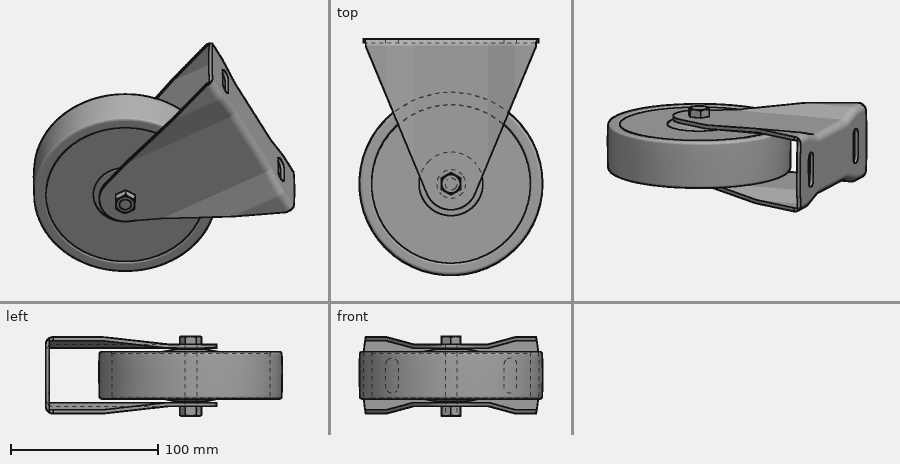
import cadquery as cq
import math


wheel_dia = 125.0
wheel_width = 32.2
total_length = 161.0
sheet = 2.5

fork_height = 52.2
axle_height = 42.2
arm_half_width = 58.0
wall_half_width = 59.7
wall_straight_height = 14.8
tip_radius = 17.7
wall_bend_radius = 5.2
crease_radius = 5.5
inner_crease_x = 25.3
outer_crease_x = 43.8
slot_width = 8.5
slot_length = 23.8
slot_spacing = 80.5

shoulder_dia = 124.1
rim_round = 2.0
rim_inner_dia = 111.4
web_recess = 1.0
hub_dia = 43.5
dome_dia = 37.4
boss_dia = 19.5

shank_dia = 8.0
hex_flats = 13.0
hex_face_dia = 12.5
hex_chamfer_angle = 30.0
head_height = 5.5
nut_height = 6.6

mount_y = total_length - wheel_dia / 2
wall_inner_y = mount_y - sheet
bend_end_y = mount_y - wall_bend_radius
arm_outer_z = axle_height / 2
arm_inner_z = arm_outer_z - sheet
flat_outer_z = fork_height / 2
rim_z = wheel_width / 2
oversize = 2 * total_length


def crease_profile(inset):
    """Closed XZ outline around both arms, moved inward by inset with mitred creases."""
    slope = math.atan2(flat_outer_z - arm_outer_z, outer_crease_x - inner_crease_x)
    shift = inset * math.tan(slope / 2)
    flat_z = flat_outer_z - inset
    panel_z = arm_outer_z - inset
    return (
        cq.Workplane("XZ")
        .moveTo(-oversize, 0)
        .lineTo(-oversize, flat_z)
        .lineTo(-outer_crease_x - shift, flat_z)
        .lineTo(-inner_crease_x - shift, panel_z)
        .lineTo(inner_crease_x + shift, panel_z)
        .lineTo(outer_crease_x + shift, flat_z)
        .lineTo(oversize, flat_z)
        .lineTo(oversize, 0)
        .mirrorX()
    )


def fork_plan():
    """Plan of the fork: wall, straight bend zone, then sides tangent to the round tip."""
    reach = math.hypot(arm_half_width, bend_end_y)
    bearing = math.atan2(bend_end_y, arm_half_width)
    tangent = bearing - math.acos(tip_radius / reach)
    return (
        cq.Workplane("XY")
        .moveTo(0, mount_y)
        .lineTo(wall_half_width, mount_y)
        .lineTo(wall_half_width, wall_inner_y)
        .lineTo(arm_half_width, wall_inner_y)
        .lineTo(arm_half_width, bend_end_y)
        .lineTo(tip_radius * math.cos(tangent), tip_radius * math.sin(tangent))
        .tangentArcPoint((0, -tip_radius), relative=False)
        .mirrorY()
        .extrude(oversize, both=True)
    )


def wall_outline():
    """End outline of the fork: side edges straight in the middle, curving in at both ends."""
    straight_z = wall_straight_height / 2
    rise = flat_outer_z - straight_z
    inward = wall_half_width - arm_half_width
    curve_radius = (rise**2 + inward**2) / (2 * inward)
    curve_mid = math.asin(rise / curve_radius) / 2
    mid_x = wall_half_width - curve_radius * (1 - math.cos(curve_mid))
    mid_z = straight_z + curve_radius * math.sin(curve_mid)
    return (
        cq.Workplane("XZ")
        .moveTo(0, -flat_outer_z)
        .lineTo(arm_half_width, -flat_outer_z)
        .threePointArc((mid_x, -mid_z), (wall_half_width, -straight_z))
        .lineTo(wall_half_width, straight_z)
        .threePointArc((mid_x, mid_z), (arm_half_width, flat_outer_z))
        .lineTo(0, flat_outer_z)
        .mirrorY()
        .extrude(oversize, both=True)
    )


def make_fork():
    envelope = crease_profile(0).extrude(oversize, both=True)
    for x in (-outer_crease_x, outer_crease_x):
        for z in (-flat_outer_z, flat_outer_z):
            crease = cq.selectors.NearestToPointSelector((x, 0, z))
            envelope = envelope.edges("|Y").edges(crease).fillet(crease_radius)
    behind_wall = cq.Workplane("XY").box(3 * oversize, oversize, oversize).translate(
        (0, mount_y + oversize / 2, 0)
    )
    envelope = envelope.cut(behind_wall)
    envelope = envelope.faces(">Y").edges("not |Z").fillet(wall_bend_radius)

    cavity = crease_profile(sheet).extrude(oversize, both=True).translate(
        (0, wall_inner_y - oversize, 0)
    )
    fork = envelope.cut(cavity).intersect(fork_plan()).intersect(wall_outline())

    slots = (
        cq.Workplane("XZ")
        .pushPoints([(-slot_spacing / 2, 0), (slot_spacing / 2, 0)])
        .slot2D(slot_length, slot_width, 90)
        .extrude(-oversize)
    )
    axle_hole = cq.Workplane("XY").circle(shank_dia / 2).extrude(oversize, both=True)
    return fork.cut(slots).cut(axle_hole)


def make_tyre():
    """Ring with a crowned tread and four rounded edges."""
    bore = rim_inner_dia / 2 - rim_round
    shoulder = shoulder_dia / 2
    ring = (
        cq.Workplane("XZ")
        .moveTo(bore, -rim_z)
        .lineTo(shoulder, -rim_z)
        .threePointArc((wheel_dia / 2, 0), (shoulder, rim_z))
        .lineTo(bore, rim_z)
        .close()
        .revolve(360, (0, 0, 0), (0, 1, 0))
    )
    return ring.faces("|Z").edges().fillet(rim_round)


def make_core(tyre):
    """Web disk with a domed hub and a boss against each arm; its edge follows the tyre."""
    bore = shank_dia / 2
    boss = boss_dia / 2
    dome_edge = dome_dia / 2
    hub = hub_dia / 2
    rim_inner = rim_inner_dia / 2
    web_z = rim_z - web_recess
    dome_rise = arm_inner_z - rim_z
    dome_radius = (dome_edge**2 + dome_rise**2) / (2 * dome_rise)
    boss_root_z = arm_inner_z - dome_radius + math.sqrt(dome_radius**2 - boss**2)
    disk = (
        cq.Workplane("XZ")
        .moveTo(bore, 0)
        .lineTo(bore, arm_inner_z)
        .lineTo(boss, arm_inner_z)
        .lineTo(boss, boss_root_z)
        .radiusArc((dome_edge, rim_z), dome_radius)
        .lineTo(hub - web_recess, rim_z)
        .radiusArc((hub, web_z), web_recess)
        .lineTo(rim_inner, web_z)
        .lineTo(rim_inner, 0)
        .mirrorX()
        .revolve(360, (0, 0, 0), (0, 1, 0))
    )
    return disk.cut(tyre)


def hex_block(height):
    """Hexagon standing on Z = 0 with flats facing +-X and its upper corners chamfered."""
    corner = hex_flats / math.sqrt(3)
    face = hex_face_dia / 2
    drop = (corner - face) * math.tan(math.radians(hex_chamfer_angle))
    block = cq.Workplane("XY").polygon(6, 2 * corner).extrude(height)
    block = block.rotate((0, 0, 0), (0, 0, 1), 90)
    cone = (
        cq.Workplane("XZ")
        .polyline([(0, 0), (corner, 0), (corner, height - drop), (face, height), (0, height)])
        .close()
        .revolve(360, (0, 0, 0), (0, 1, 0))
    )
    return block.intersect(cone)


def make_bolt():
    head = hex_block(head_height).translate((0, 0, arm_outer_z))
    shank = cq.Workplane("XY").circle(shank_dia / 2).extrude(axle_height + nut_height)
    return head.union(shank.translate((0, 0, -arm_outer_z - nut_height)))


def make_nut():
    hole = cq.Workplane("XY").circle(shank_dia / 2).extrude(nut_height)
    nut = hex_block(nut_height).cut(hole)
    return nut.mirror("XY").translate((0, 0, -arm_outer_z))


fork = make_fork()
tyre = make_tyre()
core = make_core(tyre)
bolt = make_bolt()
nut = make_nut()

result = cq.Compound.makeCompound([fork.val(), tyre.val(), core.val(), bolt.val(), nut.val()])